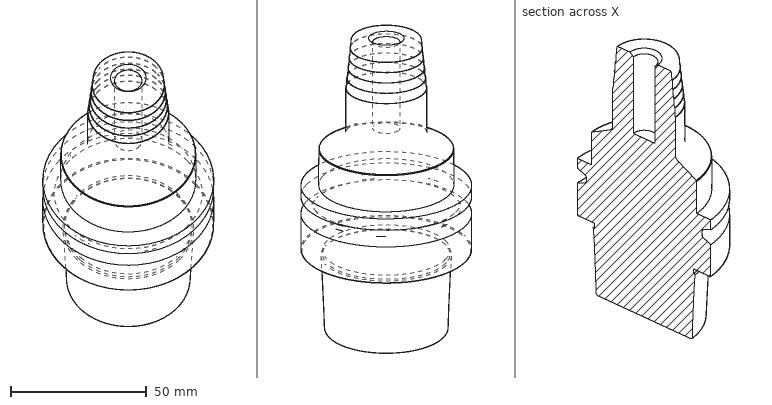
import cadquery as cq
import math

length = 116.9

shank_end_radius = 22.8
shank_top_radius = 24.1
shank_top_z = 29.9
shank_end_round = 1.2
relief_radius = 23.5
relief_lead = 0.5

flange_radius = 63.0 / 2
flange_bottom_z = 32.0
flange_top_z = 58.0
flange_edge_chamfer = 0.4
groove_radius = 27.4
groove_bottom_z = 48.6
groove_top_z = 51.5
groove_flank_angle = 65.5
groove_fillet = 0.7

body_radius = 24.9
body_top_z = 72.7
body_edge_chamfer = 0.2
neck_radius = 15.0
neck_base_z = 78.3
neck_fillet = 1.8

ring_count = 5
ring_height = 4.0
ring_taper_angle = 5.7
ring_lip = 0.18
nose_round = 0.9

bore_radius = 5.0
bore_mouth_radius = 6.5
bore_mouth_depth = 1.5
bore_depth = 36.0


pick_margin = 0.1


def circles_at(z):
    """Select the circular edges centred on the axis at height z."""
    return cq.selectors.BoxSelector(
        (-flange_radius, -flange_radius, z - pick_margin),
        (flange_radius, flange_radius, z + pick_margin),
    )


def make_shank():
    profile = (
        cq.Workplane("XZ")
        .lineTo(shank_end_radius, 0)
        .lineTo(shank_top_radius, shank_top_z)
        .lineTo(relief_radius, shank_top_z + relief_lead)
        .lineTo(relief_radius, flange_bottom_z)
        .lineTo(0, flange_bottom_z)
        .close()
    )
    shank = profile.revolve(360, (0, 0, 0), (0, 1, 0))
    return shank.faces("<Z").edges().fillet(shank_end_round)


def make_flange():
    flank_height = (flange_radius - groove_radius) / math.tan(math.radians(groove_flank_angle))
    profile = (
        cq.Workplane("XZ", origin=(0, 0, flange_bottom_z))
        .lineTo(flange_radius, 0)
        .lineTo(flange_radius, groove_bottom_z - flank_height - flange_bottom_z)
        .lineTo(groove_radius, groove_bottom_z - flange_bottom_z)
        .lineTo(groove_radius, groove_top_z - flange_bottom_z)
        .lineTo(flange_radius, groove_top_z + flank_height - flange_bottom_z)
        .lineTo(flange_radius, flange_top_z - flange_bottom_z)
        .lineTo(0, flange_top_z - flange_bottom_z)
        .close()
    )
    flange = profile.revolve(360, (0, 0, 0), (0, 1, 0))
    flange = flange.edges(circles_at(groove_bottom_z)).fillet(groove_fillet)
    flange = flange.edges(circles_at(groove_top_z)).fillet(groove_fillet)
    return flange.faces("<Z").edges().chamfer(flange_edge_chamfer)


def make_body_and_nose():
    nose_base_z = length - ring_count * ring_height
    profile = (
        cq.Workplane("XZ")
        .moveTo(0, flange_top_z)
        .lineTo(body_radius, flange_top_z)
        .lineTo(body_radius, body_top_z)
        .lineTo(neck_radius, neck_base_z)
        .lineTo(neck_radius, nose_base_z)
    )
    slope = math.tan(math.radians(ring_taper_angle))
    for ring in range(ring_count):
        start_radius = neck_radius - ring_lip - ring * ring_height * slope
        end_radius = start_radius + ring_lip - ring_height * slope
        profile = profile.lineTo(start_radius, nose_base_z + ring * ring_height)
        profile = profile.lineTo(end_radius, nose_base_z + (ring + 1) * ring_height)
    solid = profile.lineTo(0, length).close().revolve(360, (0, 0, 0), (0, 1, 0))
    solid = solid.faces(">Z").edges().fillet(nose_round)
    solid = solid.edges(circles_at(body_top_z)).chamfer(body_edge_chamfer)
    return solid.edges(circles_at(neck_base_z)).fillet(neck_fillet)


def make_bore():
    return (
        cq.Workplane("XZ")
        .moveTo(0, length)
        .lineTo(bore_mouth_radius, length)
        .lineTo(bore_radius, length - bore_mouth_depth)
        .lineTo(bore_radius, length - bore_depth)
        .lineTo(0, length - bore_depth)
        .close()
        .revolve(360, (0, 0, 0), (0, 1, 0))
    )


result = make_shank().union(make_flange()).union(make_body_and_nose()).cut(make_bore())